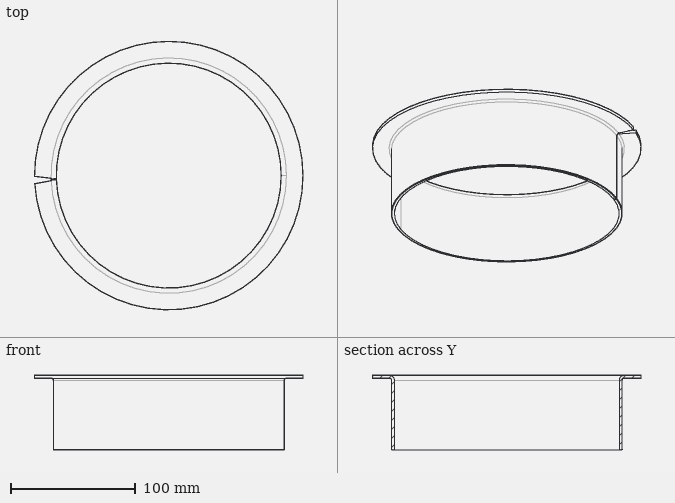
import cadquery as cq

flange_radius = 107.5
tube_outer_radius = 92.5
wall = 2.5
height = 60.0
bend_outer_radius = 1.7
lower_edge_chamfer = 0.5
split_angle = 1.9
slit_width = 0.6
notch_inner_width = 1.7
notch_outer_width = 5.8

tube_inner_radius = tube_outer_radius - wall
bend_inner_radius = bend_outer_radius + wall
bend_edge_radius = tube_outer_radius + bend_outer_radius
flange_bottom = height - wall
bend_bottom = flange_bottom - bend_outer_radius
cut_overshoot = 2.2


def flanged_ring():
    """Revolve the L-shaped sheet section with its rounded bend."""
    section = (
        cq.Workplane("XZ")
        .moveTo(tube_inner_radius, 0)
        .lineTo(tube_outer_radius - lower_edge_chamfer, 0)
        .lineTo(tube_outer_radius, lower_edge_chamfer)
        .lineTo(tube_outer_radius, bend_bottom)
        .radiusArc((bend_edge_radius, flange_bottom), bend_outer_radius)
        .lineTo(flange_radius, flange_bottom)
        .lineTo(flange_radius, height)
        .lineTo(bend_edge_radius, height)
        .radiusArc((tube_inner_radius, bend_bottom), -bend_inner_radius)
        .close()
    )
    return section.revolve(360, (0, 0, 0), (0, 1, 0))


def split_cutter():
    """Narrow slit through the wall, widening to a wedge across the flange."""
    slit_start = tube_inner_radius - cut_overshoot
    slit_length = flange_radius + cut_overshoot - slit_start
    slit = cq.Workplane("XY").box(
        slit_length, slit_width, height, centered=(False, True, False)
    ).translate((-slit_start - slit_length, 0, 0))

    flare = (notch_outer_width - notch_inner_width) / (flange_radius - bend_edge_radius)
    wedge_end = flange_radius + cut_overshoot
    inner_half = notch_inner_width / 2
    end_half = (notch_outer_width + flare * cut_overshoot) / 2
    wedge = (
        cq.Workplane("XY")
        .polyline([
            (-bend_edge_radius, -inner_half),
            (-wedge_end, -end_half),
            (-wedge_end, end_half),
            (-bend_edge_radius, inner_half),
        ])
        .close()
        .extrude(height)
    )
    return slit.union(wedge).rotate((0, 0, 0), (0, 0, 1), split_angle)


result = flanged_ring().cut(split_cutter())